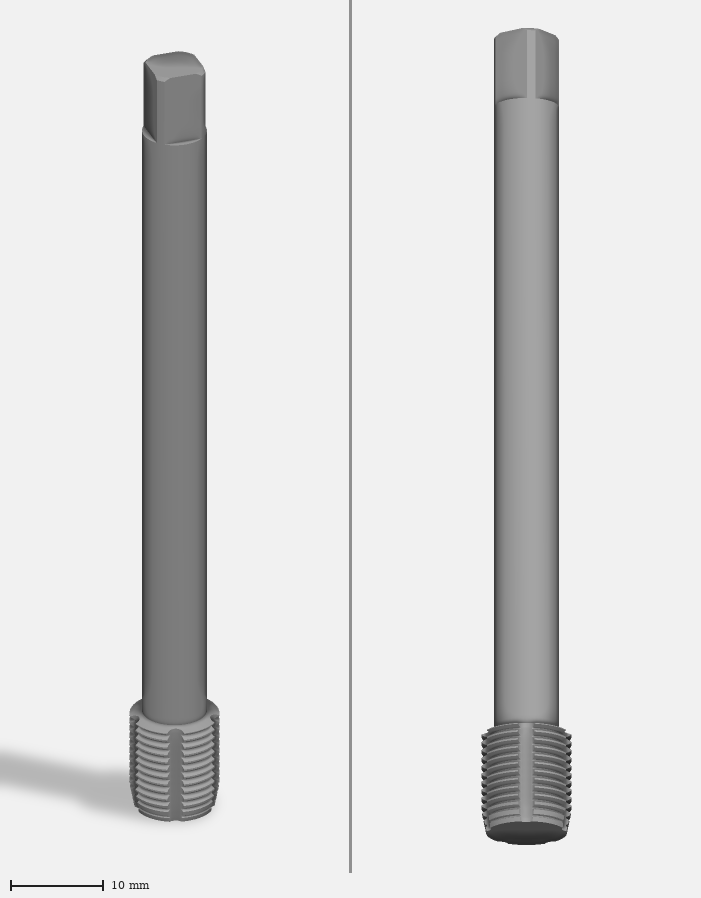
import cadquery as cq

total_length = 90
head_length = 11.3

shank_diameter = 7.0
drive_width = 5.6
drive_length = 8.0
tip_diameter = 6.3
tip_height = 0.4

crest_diameter = 9.7
root_diameter = 8.6
thread_pitch = 0.9
crest_flat = 0.2
root_flat = 0.135
top_crest_drop = 0.4
ridge_count = 13

lead_end_diameter = 8.7
lead_height = 2.4
shoulder_height = 0.4

flute_count = 5
flute_radius = 0.9
flute_center_radius = 4.95
first_flute_angle = -90

shank_radius = shank_diameter / 2
crest_radius = crest_diameter / 2
root_radius = root_diameter / 2


def revolved(outline):
    """Body of revolution about Z from (radius, height) points."""
    return cq.Workplane("XZ").polyline(outline).close().revolve(360, (0, 0), (0, 1))


def make_shank():
    """Round shank standing on the head, squared at its upper end with a chamfered tip."""
    outline = [
        (0, head_length),
        (shank_radius, head_length),
        (shank_radius, total_length - tip_height),
        (tip_diameter / 2, total_length),
        (0, total_length),
    ]
    drive_waste = (
        cq.Workplane("XY").workplane(offset=total_length - drive_length)
        .circle(shank_diameter).rect(drive_width, drive_width).extrude(drive_length)
    )
    return revolved(outline).cut(drive_waste)


def ridged_core():
    """Core with evenly spaced ridges, a little longer than the head at both ends."""
    half_crest = crest_flat / 2
    half_ridge = (thread_pitch - root_flat) / 2
    top_crest = head_length - top_crest_drop
    bottom_crest = top_crest - (ridge_count - 1) * thread_pitch
    core_bottom = bottom_crest - thread_pitch
    core_top = top_crest + thread_pitch

    outline = [(0, core_bottom), (root_radius, core_bottom)]
    for index in range(ridge_count):
        crest_height = bottom_crest + index * thread_pitch
        outline += [
            (root_radius, crest_height - half_ridge),
            (crest_radius, crest_height - half_crest),
            (crest_radius, crest_height + half_crest),
            (root_radius, crest_height + half_ridge),
        ]
    outline += [(root_radius, core_top), (0, core_top)]
    return revolved(outline)


def head_envelope():
    """Smooth outer limit of the head, with the lead taper below and the shoulder above."""
    return revolved([
        (0, 0),
        (lead_end_diameter / 2, 0),
        (crest_radius, lead_height),
        (crest_radius, head_length - shoulder_height),
        (shank_radius, head_length),
        (0, head_length),
    ])


def make_flutes():
    """Round-bottomed grooves along the full height of the head."""
    return (
        cq.Workplane("XY")
        .polarArray(flute_center_radius, first_flute_angle, 360, flute_count)
        .circle(flute_radius).extrude(head_length)
    )


def make_head():
    """Ridged cutting head, trimmed by its envelope and split by the chip flutes."""
    return ridged_core().intersect(head_envelope()).cut(make_flutes())


shank = make_shank()
head = make_head()

result = cq.Compound.makeCompound([shank.solids().val(), head.solids().val()])